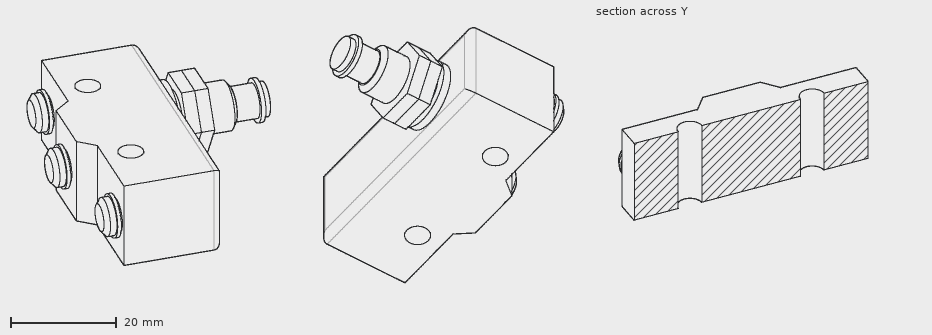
import cadquery as cq
import math


housing_length = 49.2
housing_depth = 19.6
housing_height = 17.5
front_fillet = 1.55
boss_depth = 3.3
boss_base_width = 17.4
boss_end_width = 12.1
mount_hole_diameter = 4.9
mount_hole_spacing = 25.7
mount_hole_y = 5.3

bushing_x = -11.6
collar_radius = 6.9
collar_length = 1.55
bushing_radius = 4.9
bushing_length = 13.95
bushing_chamfer_length = 0.9
bushing_tip_radius = 3.75

nut_across_flats = 13.85
nut_thickness = 2.65
nut_count = 2
nut_offset = 2.7

plunger_radius = 3.45
plunger_reach = 20.7
ring_radius = 4.35
ring_thickness = 0.9
ring_setback = 1.25

screw_length = 3.45
screw_neck_radius = 3.4
screw_head_radius = 3.8
screw_flange_radius = 4.3
screw_tip_radius = 2.7
flange_start = 0.5
flange_thickness = 0.75
screw_chamfer_length = 0.95
outer_screw_x = housing_length / 2 - screw_flange_radius


def turned(profile):
    """Solid of revolution about the Y axis from (radius, y) points."""
    return cq.Workplane("XY").polyline(profile).close().revolve(360, (0, 0, 0), (0, 1, 0))


def cylinder_y(radius, start, length):
    """Cylinder on the Y axis, growing towards +Y from y = start."""
    return cq.Workplane("XZ", origin=(0, start, 0)).circle(radius).extrude(-length)


def make_bushing():
    chamfer_start = bushing_length - bushing_chamfer_length
    return turned([
        (0, 0),
        (collar_radius, 0),
        (collar_radius, collar_length),
        (bushing_radius, collar_length),
        (bushing_radius, chamfer_start),
        (bushing_tip_radius, bushing_length),
        (0, bushing_length),
    ]).translate((bushing_x, housing_depth, 0))


def make_housing():
    block = (
        cq.Workplane("XY")
        .box(housing_length, housing_depth, housing_height)
        .translate((0, housing_depth / 2, 0))
        .faces(">Y").edges().fillet(front_fillet)
    )
    boss = (
        cq.Workplane("XY", origin=(0, 0, -housing_height / 2))
        .polyline([
            (-boss_base_width / 2, 0),
            (-boss_end_width / 2, -boss_depth),
            (boss_end_width / 2, -boss_depth),
            (boss_base_width / 2, 0),
        ])
        .close()
        .extrude(housing_height)
    )
    mount_holes = (
        cq.Workplane("XY", origin=(0, mount_hole_y, -housing_height / 2))
        .pushPoints([(-mount_hole_spacing / 2, 0), (mount_hole_spacing / 2, 0)])
        .circle(mount_hole_diameter / 2)
        .extrude(housing_height)
    )
    return block.union(boss).cut(mount_holes).union(make_bushing())


def make_nut(index):
    """Hexagonal nut with corners at +X and -X, bored to fit the bushing."""
    start = housing_depth + nut_offset + index * nut_thickness
    across_corners = nut_across_flats / math.cos(math.pi / 6)
    return (
        cq.Workplane("XZ", origin=(bushing_x, start, 0))
        .polygon(6, across_corners)
        .circle(bushing_radius)
        .extrude(-nut_thickness)
    )


def make_plunger():
    """Plunger standing on the end of the bushing, with a ring near its tip."""
    stem = cylinder_y(plunger_radius, bushing_length, plunger_reach - bushing_length)
    ring_start = plunger_reach - ring_setback - ring_thickness
    ring = cylinder_y(ring_radius, ring_start, ring_thickness)
    return stem.union(ring).translate((bushing_x, housing_depth, 0))


def make_terminal_screw(x, seat_y):
    """Screw head on the rear face at y = seat_y, pointing to -Y."""
    flange_end = flange_start + flange_thickness
    chamfer_start = screw_length - screw_chamfer_length
    return turned([
        (0, 0),
        (screw_neck_radius, 0),
        (screw_head_radius, -flange_start),
        (screw_flange_radius, -flange_start),
        (screw_flange_radius, -flange_end),
        (screw_head_radius, -flange_end),
        (screw_head_radius, -chamfer_start),
        (screw_tip_radius, -screw_length),
        (0, -screw_length),
    ]).translate((x, seat_y, 0))


housing = make_housing()
plunger = make_plunger()
nuts = [make_nut(index) for index in range(nut_count)]
screw_seats = [(-outer_screw_x, 0), (0, -boss_depth), (outer_screw_x, 0)]
terminal_screws = [make_terminal_screw(x, seat_y) for x, seat_y in screw_seats]

result = cq.Compound.makeCompound([
    housing.val(),
    plunger.val(),
    *[nut.val() for nut in nuts],
    *[screw.val() for screw in terminal_screws],
])